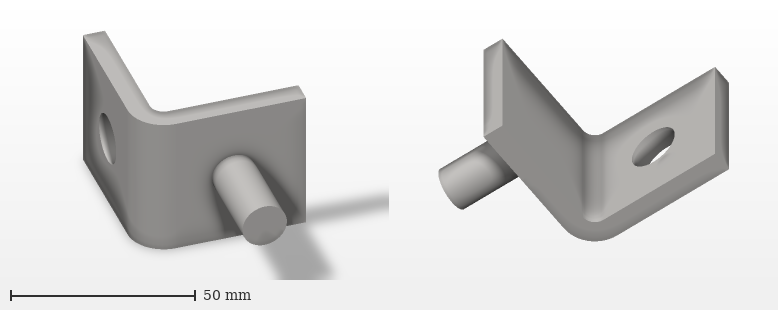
import cadquery as cq

overall_length = 73.0
leg_length = 47.6
height = 41.25
thickness = 6.35
inner_bend_radius = 3.95
hole_diameter = 14.3
pin_diameter = 12.7

outer_bend_radius = inner_bend_radius + thickness
pin_length = overall_length - leg_length
center_from_free_edge = height / 2
mid_height = height / 2


def bent_plate():
    """Equal-leg angle with concentric inner and outer bend radii."""
    inner_face = leg_length - thickness
    plate = (
        cq.Workplane("XY")
        .moveTo(0, 0)
        .lineTo(leg_length, 0)
        .lineTo(leg_length, leg_length)
        .lineTo(inner_face, leg_length)
        .lineTo(inner_face, thickness)
        .lineTo(0, thickness)
        .close()
        .extrude(height)
    )
    outer_corner = cq.selectors.NearestToPointSelector((leg_length, 0, mid_height))
    inner_corner = cq.selectors.NearestToPointSelector((inner_face, thickness, mid_height))
    plate = plate.edges("|Z").edges(outer_corner).fillet(outer_bend_radius)
    return plate.edges("|Z").edges(inner_corner).fillet(inner_bend_radius)


def leg_hole():
    """Cutter for the round hole through the leg that lies along X."""
    return (
        cq.Workplane("XZ")
        .center(center_from_free_edge, mid_height)
        .circle(hole_diameter / 2)
        .extrude(-thickness)
    )


def pin():
    """Round pin standing on the outer face of the leg that lies along Y."""
    return (
        cq.Workplane("YZ", origin=(leg_length - thickness, 0, 0))
        .center(leg_length - center_from_free_edge, mid_height)
        .circle(pin_diameter / 2)
        .extrude(thickness + pin_length)
    )


result = bent_plate().cut(leg_hole()).union(pin())